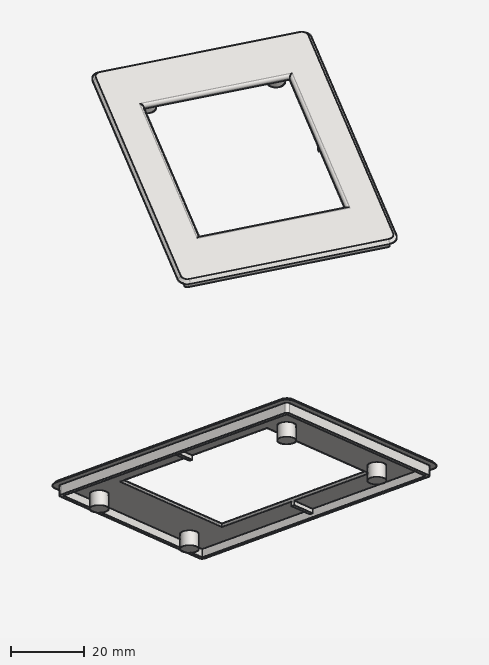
import cadquery as cq

length = 87.7
width = 62.0
height = 5.9
bevel = 1.0
plate_thickness = 1.5
corner_radius = 2.8

rim_overhang = 1.9
body_height = 3.95
wall = 1.05
skirt_length = length - 2 * rim_overhang
skirt_width = width - 2 * rim_overhang
skirt_radius = corner_radius - rim_overhang

window_length = 53.85
window_width = 41.2
window_rounding = 1.0

boss_diameter = 5.2
boss_spacing_x = 68.7
boss_spacing_y = 36.5
boss_shift_x = 2.4

rib_thickness = 1.05
rib_center_x = 1.0
rib_rise = 1.1

plate_underside = height - plate_thickness
rim_edge_level = height - bevel
skirt_bottom = height - body_height
rib_bottom = skirt_bottom + rib_rise
overlap = plate_thickness / 2


def rounded_block(size_x, size_y, radius, bottom, top):
    """Block centred on the Z axis with rounded upright edges."""
    block = cq.Workplane("XY").workplane(offset=bottom).rect(size_x, size_y).extrude(top - bottom)
    return block.edges("|Z").fillet(radius)


def make_skirt():
    """Rounded rectangular wall that also fills the plate inside the rim."""
    outer = rounded_block(skirt_length, skirt_width, skirt_radius, skirt_bottom, rim_edge_level)
    cavity = (
        cq.Workplane("XY")
        .workplane(offset=skirt_bottom)
        .rect(skirt_length - 2 * wall, skirt_width - 2 * wall)
        .extrude(plate_underside - skirt_bottom)
    )
    return outer.cut(cavity)


def flared_slot(plane, opening, run):
    """Slot along the normal of an upright plane, flaring at the top in convex quarter rounds."""
    half = opening / 2
    round_start = height - window_rounding
    slot = (
        cq.Workplane(plane)
        .moveTo(-half, 0)
        .lineTo(half, 0)
        .lineTo(half, round_start)
        .radiusArc((half + window_rounding, height), window_rounding)
        .lineTo(-half - window_rounding, height)
        .radiusArc((-half, round_start), window_rounding)
        .close()
    )
    return slot.extrude(run / 2, both=True)


def make_window_cutter():
    """Window shape whose rounded edges meet in mitred corners."""
    along_y = flared_slot("XZ", window_length, width)
    along_x = flared_slot("YZ", window_width, length)
    return along_y.intersect(along_x)


def make_plate():
    """Bevelled rim plate with its skirt and round-edged window."""
    rim = rounded_block(length, width, corner_radius, rim_edge_level, height)
    bevelled = (
        cq.Workplane("XY")
        .workplane(offset=rim_edge_level)
        .placeSketch(cq.Sketch().rect(length, width).vertices().fillet(corner_radius))
        .extrude(bevel, taper=45)
    )
    plate = rim.intersect(bevelled).union(make_skirt())
    return plate.cut(make_window_cutter())


def make_bosses():
    """Four round bosses reaching below the skirt."""
    return (
        cq.Workplane("XY")
        .center(boss_shift_x, 0)
        .rarray(boss_spacing_x, boss_spacing_y, 2, 2)
        .circle(boss_diameter / 2)
        .extrude(plate_underside + overlap)
    )


def make_rib(side):
    """Rib on one long side; side is +1 or -1 along Y."""
    inner_y = window_width / 2
    outer_y = skirt_width / 2 - wall / 2
    rib_top = height - window_rounding
    return (
        cq.Workplane("XY")
        .workplane(offset=rib_bottom)
        .center(rib_center_x, side * (inner_y + outer_y) / 2)
        .rect(rib_thickness, outer_y - inner_y)
        .extrude(rib_top - rib_bottom)
    )


result = make_plate().union(make_bosses())
for side in (-1, 1):
    result = result.union(make_rib(side))